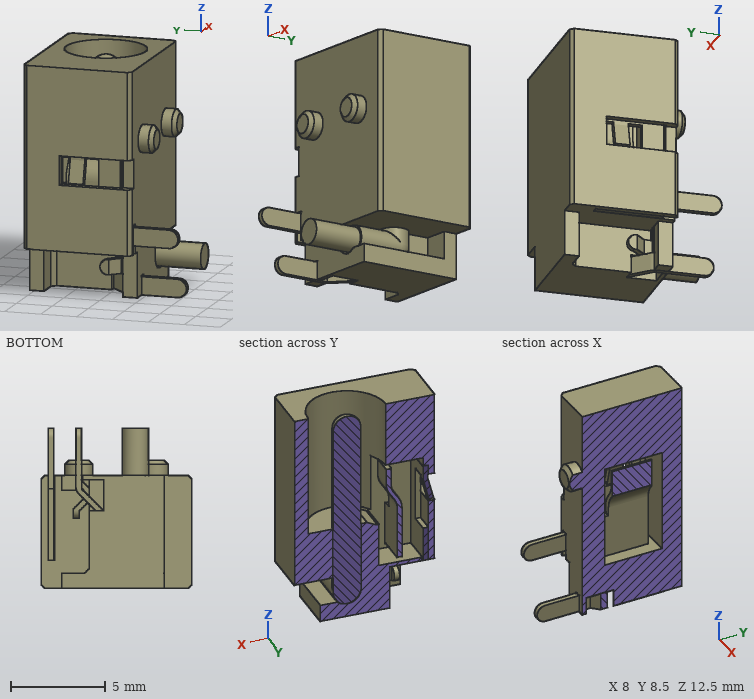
import cadquery as cq
import math


HOUSING_WIDTH = 8.0
HOUSING_DEPTH = 6.0
TOTAL_HEIGHT = 12.5
BASE_HEIGHT = 2.5
CORNER_CHAMFER = 0.2
FRONT_Y = -HOUSING_DEPTH / 2
BACK_Y = HOUSING_DEPTH / 2

BASE_LEFT = 1.1
BASE_RIGHT = 6.52
BASE_WALL = 0.8
BASE_FRONT_INNER_Y = FRONT_Y + BASE_WALL
BASE_BACK_INNER_Y = BACK_Y - BASE_WALL
BASE_GAP_FLOOR_X = 2.55
BASE_GAP_CHAMFER = 0.25
NOTCH_BOTTOM = 1.0

PEG_RADIUS = 0.75
PEG_LENGTH = 0.8
PEG_CHAMFER = 0.22
PEG_SPACING = 4.0
PEG_Z = 8.5

PIN_X = 5.0
BORE_RADIUS = 2.2
BORE_FLOOR_Z = 5.5
PIN_RADIUS = 0.8
PIN_TAIL_RADIUS = 0.7
PIN_DOME_Z = 11.4
PIN_TAIL_Z = 1.6
PIN_SHOULDER_Y = -2.65
LEAD_END_Y = -5.5

SHEET = 0.3
SLOT_CLEARANCE = 0.05
LEG_HEIGHT = 1.0

SIDE_X = 0.38
SIDE_FRONT_Y = -2.28
SIDE_BACK_Y = 1.5
SIDE_LEG_Z = 3.0
SIDE_TOP = 8.25
SIDE_SLOT_FRONT_Y = -2.41
SIDE_LEG_SLOT_TOP = 4.1
OPENING_FRONT_Y = -1.09
OPENING_BACK_Y = 1.0
OPENING_BOTTOM = 4.5
OPENING_TOP = 7.56
TONGUE_FRONT_Y = -0.31
TONGUE_BACK_Y = 0.5
TONGUE_ROOT_Z = 7.45
TONGUE_TIP_Z = 6.22
TONGUE_REACH = 0.32

WINDOW_DEPTH = 0.5
WINDOW_BOTTOM = 6.1
WINDOW_TOP = 7.7
WINDOW_BACK_Y = 1.0

SPRING_X = 1.85
SPRING_FRONT_Y = -2.75
SPRING_PLATE_BOTTOM = 3.0
SPRING_PLATE_TOP = 5.5
SPRING_SLOT_HEIGHT = 1.05
BLADE_HALF_WIDTH = 1.2
BLADE_TOP = 8.5
CRANK_ANGLE = 35.0
CRANK_LOWER_Z = 6.61
CRANK_UPPER_Z = 6.95
CRANK_RADIUS = 1.06

STRIP_CORNER_Y = -2.16
STRIP_END_Y = -1.12
STRIP_BEND_RADIUS = 0.5
TAB_BOTTOM = 1.0
TAB_INSET = 0.4
TAB_INSET_START_Y = -2.6
TAB_HEIGHT = 0.82
TAB_BEND_FRONT_Y = -1.75
TAB_BEND_BACK_Y = -1.21
TAB_TIP_Y = -0.72

CAVITY_FRONT_Y = -1.62
CAVITY_BACK_Y = 1.8
CAVITY_RIGHT = 3.16
CAVITY_BOTTOM = 2.75
CAVITY_TOP = 8.75
RAMP_LEFT = 3.26
RAMP_RIGHT = 3.86
RAMP_DROP = 0.28

DIAGONAL_SHEET = SHEET * math.sqrt(2)
HALF_BEND_TANGENT = math.tan(math.pi / 8)


def block(x0, x1, y0, y1, z0, z1):
    """Box between two opposite corners."""
    return cq.Workplane("XY").box(x1 - x0, y1 - y0, z1 - z0, centered=False).translate((x0, y0, z0))


def upright_rod(x, radius, z0, z1):
    """Cylinder along Z, centred on Y = 0."""
    return cq.Workplane("XY", origin=(x, 0, z0)).circle(radius).extrude(z1 - z0)


def forward_rod(x, z, radius, y_start, y_end):
    """Cylinder along Y from y_start toward the smaller y_end."""
    return cq.Workplane("XZ", origin=(x, y_start, z)).circle(radius).extrude(y_start - y_end)


def pin_elbow():
    return cq.Workplane("XY", origin=(PIN_X, 0, PIN_TAIL_Z)).sphere(PIN_RADIUS)


def leg(x, z0, y_root):
    """Flat solder leg with a full-round end."""
    radius = LEG_HEIGHT / 2
    tip_y = LEAD_END_Y + radius
    plate = block(x, x + SHEET, tip_y, y_root, z0, z0 + LEG_HEIGHT)
    tip = cq.Workplane("YZ", origin=(x, tip_y, z0 + radius)).circle(radius).extrude(SHEET)
    return plate.union(tip)


def make_pin():
    stem = upright_rod(PIN_X, PIN_RADIUS, PIN_TAIL_Z, PIN_DOME_Z)
    dome = cq.Workplane("XY", origin=(PIN_X, 0, PIN_DOME_Z)).sphere(PIN_RADIUS)
    shoulder = forward_rod(PIN_X, PIN_TAIL_Z, PIN_RADIUS, 0, PIN_SHOULDER_Y)
    tail = forward_rod(PIN_X, PIN_TAIL_Z, PIN_TAIL_RADIUS, 0, LEAD_END_Y)
    return stem.union(dome).union(pin_elbow()).union(shoulder).union(tail)


def make_side_terminal():
    plate = block(SIDE_X, SIDE_X + SHEET, SIDE_FRONT_Y, SIDE_BACK_Y, BASE_HEIGHT, SIDE_TOP)
    opening = block(
        SIDE_X, SIDE_X + SHEET, OPENING_FRONT_Y, OPENING_BACK_Y, OPENING_BOTTOM, OPENING_TOP
    )
    lean = math.atan2(TONGUE_REACH, TONGUE_ROOT_Z - TONGUE_TIP_Z)
    tip_x = SIDE_X - TONGUE_REACH
    tongue = (
        cq.Workplane("XZ", origin=(0, TONGUE_BACK_Y, 0))
        .polyline([
            (SIDE_X, OPENING_TOP),
            (SIDE_X, TONGUE_ROOT_Z),
            (tip_x, TONGUE_TIP_Z),
            (tip_x + SHEET * math.cos(lean), TONGUE_TIP_Z - SHEET * math.sin(lean)),
            (SIDE_X + SHEET, TONGUE_ROOT_Z),
            (SIDE_X + SHEET, OPENING_TOP),
        ])
        .close()
        .extrude(TONGUE_BACK_Y - TONGUE_FRONT_Y)
    )
    return plate.cut(opening).union(tongue).union(leg(SIDE_X, SIDE_LEG_Z, SIDE_FRONT_Y))


def spring_blade():
    """Contact blade that cranks inward between two upright stretches."""
    angle = math.radians(CRANK_ANGLE)
    rise = CRANK_UPPER_Z - CRANK_LOWER_Z
    bend_shift = CRANK_RADIUS * (1 - math.cos(angle))
    bend_rise = CRANK_RADIUS * math.sin(angle)
    half_shift = CRANK_RADIUS * (1 - math.cos(angle / 2))
    half_rise = CRANK_RADIUS * math.sin(angle / 2)

    lower_z = CRANK_LOWER_Z - bend_rise
    slope_x = SPRING_X + bend_shift
    slope_end_x = slope_x + rise * math.tan(angle)
    upper_x = slope_end_x + bend_shift
    upper_z = CRANK_UPPER_Z + bend_rise
    profile = (
        cq.Workplane("XZ", origin=(0, BLADE_HALF_WIDTH, 0))
        .moveTo(SPRING_X, SPRING_PLATE_BOTTOM)
        .lineTo(SPRING_X, lower_z)
        .threePointArc((SPRING_X + half_shift, lower_z + half_rise), (slope_x, CRANK_LOWER_Z))
        .lineTo(slope_end_x, CRANK_UPPER_Z)
        .threePointArc((upper_x - half_shift, upper_z - half_rise), (upper_x, upper_z))
        .lineTo(upper_x, BLADE_TOP)
        .lineTo(upper_x + SHEET, BLADE_TOP)
        .lineTo(upper_x + SHEET, upper_z)
        .threePointArc(
            (upper_x + SHEET - half_shift, upper_z - half_rise), (slope_end_x + SHEET, CRANK_UPPER_Z)
        )
        .lineTo(slope_x + SHEET, CRANK_LOWER_Z)
        .threePointArc(
            (SPRING_X + SHEET + half_shift, lower_z + half_rise), (SPRING_X + SHEET, lower_z)
        )
        .lineTo(SPRING_X + SHEET, SPRING_PLATE_BOTTOM)
        .close()
    )
    return profile.extrude(2 * BLADE_HALF_WIDTH)


def retaining_strip():
    """Lower strip bent 45 degrees into the base."""
    shift = STRIP_END_Y - STRIP_CORNER_Y
    inner_corner_y = STRIP_CORNER_Y - SHEET * HALF_BEND_TANGENT
    strip = (
        cq.Workplane("XY")
        .polyline([
            (SPRING_X, SPRING_FRONT_Y),
            (SPRING_X, STRIP_CORNER_Y),
            (SPRING_X + shift, STRIP_END_Y),
            (SPRING_X + shift + DIAGONAL_SHEET, STRIP_END_Y),
            (SPRING_X + SHEET, inner_corner_y),
            (SPRING_X + SHEET, SPRING_FRONT_Y),
        ])
        .close()
        .extrude(LEG_HEIGHT)
    )
    outer_bend = cq.selectors.NearestToPointSelector((SPRING_X, STRIP_CORNER_Y, LEG_HEIGHT / 2))
    return strip.edges("|Z").edges(outer_bend).fillet(STRIP_BEND_RADIUS)


def rounded_tab():
    """Round-ended tab stepped outward by a 45 degree crank."""
    root_x = SPRING_X + TAB_INSET
    tip_x = root_x - (TAB_BEND_BACK_Y - TAB_BEND_FRONT_Y)
    bend_offset = SHEET * HALF_BEND_TANGENT
    inset_end_y = TAB_INSET_START_Y + TAB_INSET
    tab = (
        cq.Workplane("XY", origin=(0, 0, TAB_BOTTOM))
        .polyline([
            (SPRING_X, SPRING_FRONT_Y),
            (SPRING_X, TAB_INSET_START_Y),
            (root_x, inset_end_y),
            (root_x, TAB_BEND_FRONT_Y),
            (tip_x, TAB_BEND_BACK_Y),
            (tip_x, TAB_TIP_Y),
            (tip_x + SHEET, TAB_TIP_Y),
            (tip_x + SHEET, TAB_BEND_BACK_Y + bend_offset),
            (root_x + SHEET, TAB_BEND_FRONT_Y + bend_offset),
            (root_x + SHEET, inset_end_y - bend_offset),
            (SPRING_X + SHEET, TAB_INSET_START_Y - bend_offset),
            (SPRING_X + SHEET, SPRING_FRONT_Y),
        ])
        .close()
        .extrude(TAB_HEIGHT)
    )
    radius = TAB_HEIGHT / 2
    end = (
        cq.Workplane("YZ", origin=(0, TAB_TIP_Y - radius, TAB_BOTTOM + radius))
        .circle(radius)
        .extrude(root_x + SHEET)
    )
    body = block(
        0, root_x + SHEET, SPRING_FRONT_Y, TAB_TIP_Y - radius, TAB_BOTTOM, TAB_BOTTOM + TAB_HEIGHT
    )
    return tab.intersect(body.union(end))


def make_spring_terminal():
    riser = block(
        SPRING_X, SPRING_X + SHEET, SPRING_FRONT_Y, BASE_FRONT_INNER_Y, LEG_HEIGHT, SPRING_PLATE_TOP
    )
    plate = block(
        SPRING_X, SPRING_X + SHEET, SPRING_FRONT_Y, BLADE_HALF_WIDTH, SPRING_PLATE_BOTTOM, SPRING_PLATE_TOP
    )
    terminal = riser.union(plate).union(leg(SPRING_X, 0, SPRING_FRONT_Y))
    return terminal.union(spring_blade()).union(retaining_strip()).union(rounded_tab())


def housing_shell():
    main = block(0, HOUSING_WIDTH, FRONT_Y, BACK_Y, BASE_HEIGHT, TOTAL_HEIGHT)
    main = main.edges("|Z").chamfer(CORNER_CHAMFER)
    base = block(BASE_LEFT, BASE_RIGHT, FRONT_Y, BACK_Y, 0, BASE_HEIGHT)
    gap = block(0, BASE_GAP_FLOOR_X, BASE_FRONT_INNER_Y, BASE_BACK_INNER_Y, 0, BASE_HEIGHT)
    gap = gap.edges("|Z and >X and >Y").chamfer(BASE_GAP_CHAMFER)
    notch = block(PIN_X, BASE_RIGHT, FRONT_Y, BASE_BACK_INNER_Y, NOTCH_BOTTOM, BASE_HEIGHT)
    shell = main.union(base.cut(gap).cut(notch))
    for side in (-1, 1):
        peg_x = HOUSING_WIDTH / 2 + side * PEG_SPACING / 2
        peg = forward_rod(peg_x, PEG_Z, PEG_RADIUS, FRONT_Y, FRONT_Y - PEG_LENGTH)
        shell = shell.union(peg.faces("<Y").chamfer(PEG_CHAMFER))
    return shell


def pin_passage():
    """Bore for the plug, hole for the pin stem and U-shaped slot for its tail."""
    bore = upright_rod(PIN_X, BORE_RADIUS, BORE_FLOOR_Z, TOTAL_HEIGHT)
    stem_hole = upright_rod(PIN_X, PIN_RADIUS, PIN_TAIL_Z, BORE_FLOOR_Z)
    slot_round = forward_rod(PIN_X, PIN_TAIL_Z, PIN_RADIUS, 0, FRONT_Y)
    slot = block(PIN_X - PIN_RADIUS, PIN_X + PIN_RADIUS, FRONT_Y, 0, PIN_TAIL_Z, BASE_HEIGHT)
    return bore.union(stem_hole).union(pin_elbow()).union(slot_round).union(slot)


def side_terminal_slot():
    right = SIDE_X + SHEET + SLOT_CLEARANCE
    plate_slot = block(SIDE_X, right, SIDE_SLOT_FRONT_Y, SIDE_BACK_Y, BASE_HEIGHT, SIDE_TOP)
    leg_slot = block(SIDE_X, right, FRONT_Y, SIDE_SLOT_FRONT_Y, BASE_HEIGHT, SIDE_LEG_SLOT_TOP)
    window = block(0, WINDOW_DEPTH, FRONT_Y, WINDOW_BACK_Y, WINDOW_BOTTOM, WINDOW_TOP)
    return plate_slot.union(leg_slot).union(window)


def spring_terminal_slot():
    right = SPRING_X + SHEET + SLOT_CLEARANCE
    leg_slot = block(SPRING_X, right, FRONT_Y, BASE_FRONT_INNER_Y, 0, SPRING_SLOT_HEIGHT)
    riser_slot = block(SPRING_X, right, SPRING_FRONT_Y, BASE_FRONT_INNER_Y, 0, SPRING_PLATE_TOP)
    plate_slot = block(
        SPRING_X, right, SPRING_FRONT_Y, CAVITY_FRONT_Y, SPRING_PLATE_BOTTOM, SPRING_PLATE_TOP
    )
    strip_right = SPRING_X + STRIP_END_Y - STRIP_CORNER_Y + DIAGONAL_SHEET
    strip_recess = block(SPRING_X, strip_right, SPRING_FRONT_Y, STRIP_END_Y, 0, LEG_HEIGHT)
    tab_right = SPRING_X + TAB_INSET + SHEET
    tab_recess = block(
        SPRING_X, tab_right, SPRING_FRONT_Y, BASE_FRONT_INNER_Y, TAB_BOTTOM, TAB_BOTTOM + TAB_HEIGHT
    )
    return leg_slot.union(riser_slot).union(plate_slot).union(strip_recess).union(tab_recess)


def contact_cavity():
    """Room for the blade, with a ramp up to the bore floor."""
    room = block(
        SIDE_X + SHEET, CAVITY_RIGHT, CAVITY_FRONT_Y, CAVITY_BACK_Y, CAVITY_BOTTOM, CAVITY_TOP
    )
    ramp = (
        cq.Workplane("XZ", origin=(0, CAVITY_BACK_Y, 0))
        .polyline([
            (CAVITY_RIGHT, BORE_FLOOR_Z),
            (CAVITY_RIGHT, BORE_FLOOR_Z - RAMP_DROP),
            (RAMP_LEFT, BORE_FLOOR_Z - RAMP_DROP),
            (RAMP_RIGHT, BORE_FLOOR_Z),
        ])
        .close()
        .extrude(CAVITY_BACK_Y - CAVITY_FRONT_Y)
    )
    return room.union(ramp)


def make_housing():
    housing = housing_shell()
    for void in (pin_passage(), side_terminal_slot(), spring_terminal_slot(), contact_cavity()):
        housing = housing.cut(void)
    return housing


housing = make_housing()
pin = make_pin()
side_terminal = make_side_terminal()
spring_terminal = make_spring_terminal()

result = cq.Compound.makeCompound([
    housing.val(),
    pin.val(),
    side_terminal.val(),
    spring_terminal.val(),
])